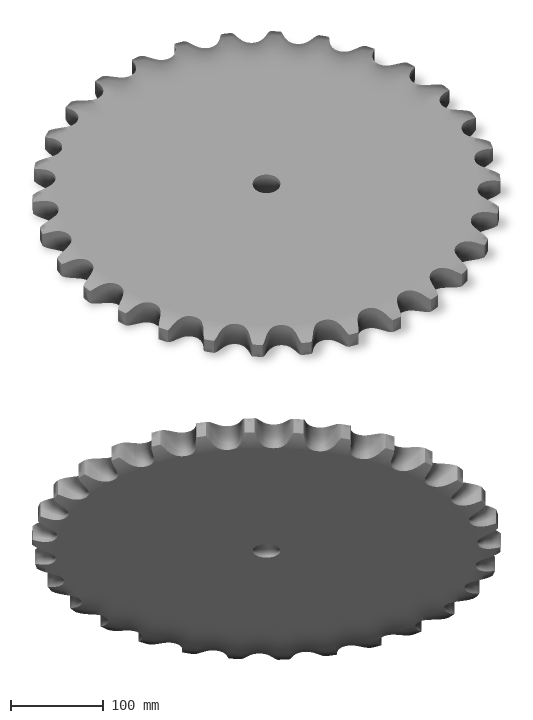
import cadquery as cq
import math

tooth_count = 30
chain_pitch = 50.8
roller_diameter = 29.21
tip_diameter = 506.49
plate_thickness = 29.4
bore_diameter = 30.0

pitch_radius = chain_pitch / (2 * math.sin(math.pi / tooth_count))
tip_radius = tip_diameter / 2
tooth_angle = 360 / tooth_count

seat_ratio = 0.5025
seat_clearance = 0.0381
seat_radius = seat_ratio * roller_diameter + seat_clearance
seat_half_angle = 55 - 60 / tooth_count
working_center_distance = 0.8 * roller_diameter
working_radius = working_center_distance + seat_radius
working_angle = 18 - 56 / tooth_count
topping_center_distance = 1.4 * roller_diameter

relief_radius = chain_pitch
relief_depth = 6.0
relief_start_radius = tip_radius - math.sqrt(relief_radius**2 - (relief_radius - relief_depth) ** 2)


def polar(radius, angle):
    """Point at a distance from the origin, with the angle in degrees."""
    return cq.Vector(radius * math.cos(math.radians(angle)), radius * math.sin(math.radians(angle)))


def arc_middle(center, start, end):
    """Point halfway along the shorter arc from start to end about the center."""
    radius = (start - center).Length
    return center + ((start + end) * 0.5 - center).normalized() * radius


def flank_points():
    """Points on the lower half of a gap centred on the X axis, from the seat out to the tooth tip."""
    seat_center = cq.Vector(pitch_radius, 0)
    seat_end_angle = 180 + seat_half_angle
    seat_end = seat_center + polar(seat_radius, seat_end_angle)

    working_center = seat_center - polar(working_center_distance, seat_end_angle)
    working_end_angle = seat_end_angle + working_angle
    working_end = working_center + polar(working_radius, working_end_angle)
    working_middle = working_center + polar(working_radius, seat_end_angle + working_angle / 2)

    topping_center = seat_center + polar(topping_center_distance, 270 - tooth_angle / 2)
    normal = polar(1, working_end_angle)
    topping_radius = (topping_center - working_end).dot(normal)
    topping_start = topping_center - normal * topping_radius

    center_distance = topping_center.Length
    center_angle = math.degrees(math.atan2(topping_center.y, topping_center.x))
    cosine = (center_distance**2 + tip_radius**2 - topping_radius**2) / (2 * center_distance * tip_radius)
    tip_corner = polar(tip_radius, center_angle + math.degrees(math.acos(cosine)))
    topping_middle = arc_middle(topping_center, topping_start, tip_corner)
    return seat_end, working_middle, working_end, topping_start, topping_middle, tip_corner


def turned(point, angle):
    """Point rotated about the sprocket axis."""
    return polar(point.Length, math.degrees(math.atan2(point.y, point.x)) + angle)


def mirrored(point):
    """Point on the opposite flank of the same gap."""
    return cq.Vector(point.x, -point.y)


def plane_point(point):
    """X and Y of a point as a pair."""
    return point.x, point.y


def toothed_plate():
    """Flat plate with the full toothed outline; one tooth is centred on the X axis."""
    seat_end, working_middle, working_end, topping_start, topping_middle, tip_corner = flank_points()
    seat_bottom = cq.Vector(pitch_radius - seat_radius, 0)
    next_tooth_tip = polar(tip_radius, tooth_angle / 2)

    stretches = (
        (topping_middle, topping_start),
        (None, working_end),
        (working_middle, seat_end),
        (seat_bottom, mirrored(seat_end)),
        (mirrored(working_middle), mirrored(working_end)),
        (None, mirrored(topping_start)),
        (mirrored(topping_middle), mirrored(tip_corner)),
        (next_tooth_tip, turned(tip_corner, tooth_angle)),
    )
    first_gap_angle = tooth_angle / 2

    outline = cq.Workplane("XY", origin=(0, 0, -plate_thickness / 2))
    outline = outline.moveTo(*plane_point(turned(tip_corner, first_gap_angle)))
    for index in range(tooth_count):
        gap_angle = first_gap_angle + index * tooth_angle
        for middle, end in stretches:
            end_point = plane_point(turned(end, gap_angle))
            if middle is None:
                outline = outline.lineTo(*end_point)
            else:
                outline = outline.threePointArc(plane_point(turned(middle, gap_angle)), end_point)
    return outline.close().extrude(plate_thickness)


def relieved_blank():
    """Revolved disc whose rim curves in towards the tooth tips on both sides."""
    half_thickness = plate_thickness / 2
    tip_height = half_thickness - relief_depth
    arc_center = cq.Vector(relief_start_radius, half_thickness - relief_radius)
    arc_start = cq.Vector(relief_start_radius, half_thickness)
    middle = arc_middle(arc_center, arc_start, cq.Vector(tip_radius, tip_height))
    return (
        cq.Workplane("XZ")
        .moveTo(0, -half_thickness)
        .lineTo(relief_start_radius, -half_thickness)
        .threePointArc((middle.x, -middle.y), (tip_radius, -tip_height))
        .lineTo(tip_radius, tip_height)
        .threePointArc((middle.x, middle.y), (relief_start_radius, half_thickness))
        .lineTo(0, half_thickness)
        .close()
        .revolve(360, (0, 0, 0), (0, 1, 0))
    )


def bore():
    """Through hole on the sprocket axis."""
    bottom = cq.Workplane("XY", origin=(0, 0, -plate_thickness / 2))
    return bottom.circle(bore_diameter / 2).extrude(plate_thickness)


result = toothed_plate().intersect(relieved_blank()).cut(bore())